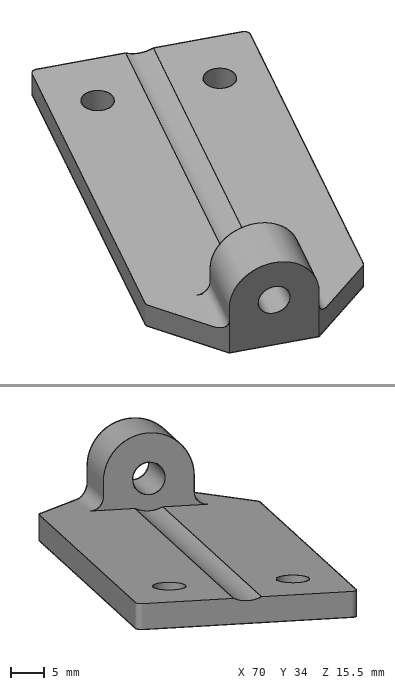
import cadquery as cq

length = 70.0
width = 34.0
thickness = 4.0
rear_corner_radius = 1.0
taper_corner_radius = 1.0

height = 15.5
lug_width = 14.0
lug_length = 10.0
lug_radius = lug_width / 2
bore_height = height - lug_radius
bore_diameter = 5.0
root_radius = 2.0

groove_radius = 5.0

hole_diameter = 5.0
hole_spacing = 19.05
hole_setback = 10.0

lug_start = length - lug_length


def tapered_block(block_height):
    """Block with the plate outline, tapering at 45 degrees to the width of the lug."""
    taper = (width - lug_width) / 2
    outline = [
        (0, -width / 2),
        (length - taper, -width / 2),
        (length, -lug_width / 2),
        (length, lug_width / 2),
        (length - taper, width / 2),
        (0, width / 2),
    ]
    blank = cq.Workplane("XY").polyline(outline).close().extrude(block_height)
    blank = blank.edges("|Z and <X").fillet(rear_corner_radius)
    taper_start = cq.selectors.BoxSelector(
        (length - taper - 0.7, -width, -0.7), (length - taper + 0.7, width, block_height + 0.7)
    )
    return blank.edges("|Z").edges(taper_start).fillet(taper_corner_radius)


def x_cylinder(radius, start, span):
    """Cylinder on the bore axis, running along +X from start."""
    return cq.Workplane("YZ", origin=(start, 0, bore_height)).circle(radius).extrude(span)


def lug():
    """Round-topped lug with concave fillets where its sides meet the plate."""
    side = lug_width / 2
    foot = side + root_radius
    root_top = thickness + root_radius
    return (
        cq.Workplane("YZ", origin=(lug_start, 0, 0))
        .moveTo(-foot, 0)
        .lineTo(-foot, thickness)
        .radiusArc((-side, root_top), -root_radius)
        .lineTo(-side, bore_height)
        .threePointArc((0, height), (side, bore_height))
        .lineTo(side, root_top)
        .radiusArc((foot, thickness), -root_radius)
        .lineTo(foot, 0)
        .close()
        .extrude(lug_length)
    )


groove = x_cylinder(groove_radius, 0, lug_start)
bore = x_cylinder(bore_diameter / 2, lug_start, lug_length)
mounting_holes = (
    cq.Workplane("XY")
    .pushPoints([(hole_setback, y) for y in (-hole_spacing / 2, hole_spacing / 2)])
    .circle(hole_diameter / 2)
    .extrude(thickness)
)

result = tapered_block(thickness).cut(groove).cut(mounting_holes)
result = result.union(lug().intersect(tapered_block(height))).cut(bore)